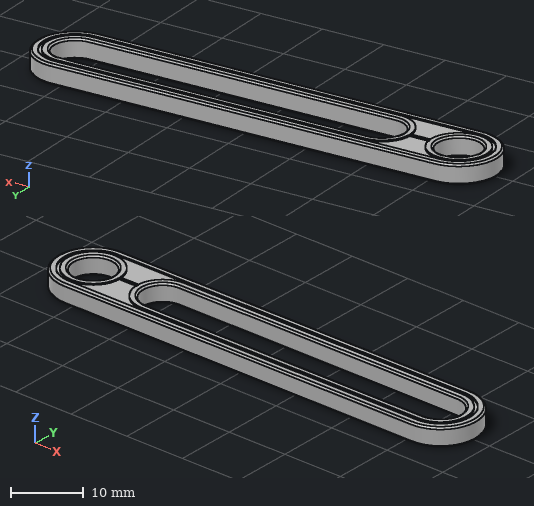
import cadquery as cq

length = 75.0
thickness = 3.15
rim_width = 1.1
collar_wall = 1.1
channel_width = 0.5
recess_depth = 0.2
edge_break = 0.3
rib_width = 0.2
rib_y = 0.15

width = length / 6
recess_width = width - 2 * rim_width
collar_width = recess_width - 2 * channel_width
opening_width = collar_width - 2 * collar_wall

slot_end_x = (length - width) / 2
hole_x = -slot_end_x
slot_start_x = hole_x + width
floor_z = thickness - recess_depth


def stadium(start_x, end_x, across, bottom_z, height):
    """Round-ended bar along X whose end arcs are centred at start_x and end_x."""
    return (
        cq.Workplane("XY", origin=((start_x + end_x) / 2, 0, bottom_z))
        .slot2D(end_x - start_x + across, across)
        .extrude(height)
    )


def hole_and_slot(across, bottom_z, height):
    """Solids around the hole and slot centres, both with the same width across."""
    disc = cq.Workplane("XY", origin=(hole_x, 0, bottom_z)).circle(across / 2).extrude(height)
    return disc.union(stadium(slot_start_x, slot_end_x, across, bottom_z, height))


def collar_rib():
    """Thin rib on the recess floor, ending inside the walls of both collars."""
    rib_length = slot_start_x - hole_x - opening_width - collar_wall
    rib_x = (hole_x + slot_start_x) / 2
    return (
        cq.Workplane("XY", origin=(rib_x, rib_y, floor_z))
        .rect(rib_length, rib_width)
        .extrude(recess_depth)
    )


bar = (
    stadium(hole_x, slot_end_x, width, 0, thickness)
    .cut(hole_and_slot(opening_width, 0, thickness))
    .faces("|Z")
    .edges()
    .chamfer(edge_break)
)

recess = (
    stadium(hole_x, slot_end_x, recess_width, floor_z, recess_depth)
    .cut(hole_and_slot(collar_width, floor_z, recess_depth))
    .cut(collar_rib())
)

result = bar.cut(recess)